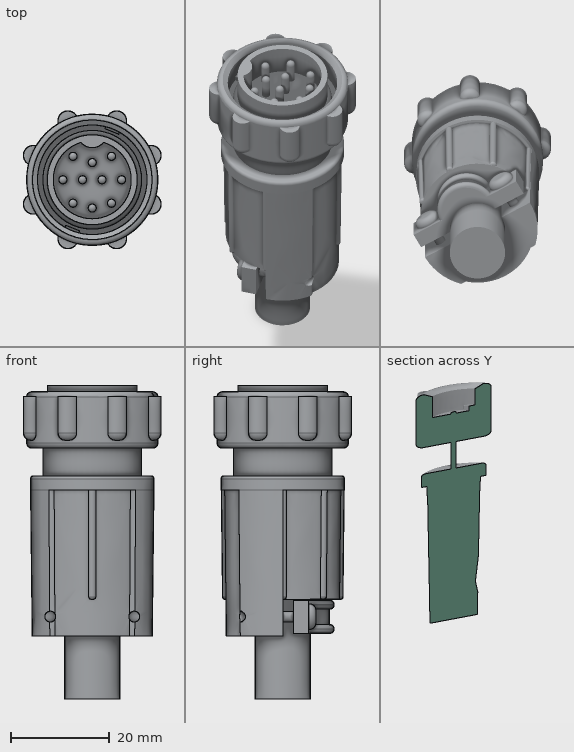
import cadquery as cq
import math

CABLE_BOTTOM_Z = 0.0
BODY_BOTTOM_Z = 12.77
REAR_BOTTOM_Z = 20.2
COLLAR_BOTTOM_Z = 42.3
COLLAR_TOP_Z = 45.2
NUT_BOTTOM_Z = 50.8
NUT_TOP_Z = 62.25
TOTAL_HEIGHT = 63.5

CABLE_RADIUS = 5.6
NECK_RADIUS = 10.0
NECK_TOP_FILLET = 0.8
NECK_TOP_Z = 58.0
COLLAR_RADIUS = 12.5
COLLAR_FILLET = 0.6

TAPER_SLOPE = 0.0115
GRIP_RADIUS = 12.5
BODY_RADIUS = 11.78
WING_EDGE_TOP_Y = -8.9
WING_EDGE_BOTTOM_Y = -8.6
RIB_RADIUS = 0.72
RIB_CREST_RADIUS = 12.45
RIB_END_FILLET = 0.5
REAR_RIB_ANGLES = (0, 45, 90, 135, 180)
FRONT_RIB_ANGLE = 270
REACH = 2 * GRIP_RADIUS

SCREW_X = 8.5
SCREW_Z = 16.7
SCREW_HOLE_RADIUS = 1.1
SCREW_HOLE_FLOOR_Y = -7.0
SHANK_RADIUS = 1.05
HEAD_RADIUS = 2.6
HEAD_HEIGHT = 1.5
HEAD_FILLET = 1.3

CLAMP_BOTTOM_Z = 13.3
CLAMP_TOP_Z = 20.0
CLAMP_HALF_LENGTH = 11.9
CLAMP_FRONT_Y = 2.15
CLAMP_BACK_Y = 5.2
SADDLE_RADIUS = 5.9
SADDLE_CENTRE_Y = 4.5
SADDLE_RIM_HEIGHT = 1.8
SADDLE_WEB_DEPTH = 0.95
SADDLE_RIM_FILLET = 0.88

NUT_RADIUS = 13.3
NUT_FILLET = 1.1
NUT_MOUTH_RADIUS = 12.1
NUT_BORE_RADIUS = 11.1
NUT_LEAD_IN_DEPTH = 0.8
NUT_FLOOR_Z = 57.0
LOBE_COUNT = 8
LOBE_RADIUS = 2.03
LOBE_REACH = 27.91 / 2
LOBE_BOTTOM_Z = 52.4
LOBE_TOP_Z = 61.3
LOBE_END_FILLET = 1.5
LUG_ANGLES = (68, 248)
LUG_INNER_RADIUS = 10.55
LUG_WIDTH = 3.0
LUG_HEIGHT = 1.0

TUBE_OUTER_RADIUS = 9.1
TUBE_INNER_RADIUS = 7.9
INSERT_FLOOR_Z = 57.3
KEY_RADIUS = 3.0
KEY_CENTRE_Y = 9.5
PIN_RADIUS = 0.82
PIN_TOP_Z = 62.1
PIN_POINTS = (
    (-5.95, 0), (-1.98, 0), (1.98, 0), (5.95, 0),
    (-3.9, 4.75), (3.9, 4.75), (-3.9, -4.75), (3.9, -4.75),
    (0, 3.48), (0, -5.73),
)


def cylinder(radius, bottom, top, x=0.0, y=0.0):
    return cq.Workplane("XY", origin=(x, y, bottom)).circle(radius).extrude(top - bottom)


def block(x_range, y_range, z_range):
    size = [high - low for low, high in (x_range, y_range, z_range)]
    corner = (x_range[0], y_range[0], z_range[0])
    return cq.Workplane("XY").box(*size, centered=False).translate(corner)


def tapered_wall(top_radius, bottom):
    """Solid cone frustum hanging from the collar."""
    drop = COLLAR_BOTTOM_Z - bottom
    bottom_radius = top_radius - TAPER_SLOPE * drop
    profile = [(0, bottom), (bottom_radius, bottom), (top_radius, COLLAR_BOTTOM_Z), (0, COLLAR_BOTTOM_Z)]
    return cq.Workplane("XZ").polyline(profile).close().revolve(360, (0, 0, 0), (0, 1, 0))


def make_rib(angle):
    """Round rib leaning with the body taper and ending at the rear half's lower edge."""
    length = COLLAR_BOTTOM_Z - REAR_BOTTOM_Z
    plane = cq.Plane(
        origin=(RIB_CREST_RADIUS - RIB_RADIUS, 0, COLLAR_BOTTOM_Z),
        xDir=(0, 1, 0),
        normal=(-TAPER_SLOPE, 0, -1),
    )
    rib = cq.Workplane(plane).circle(RIB_RADIUS).extrude(length)
    rib = rib.faces("<Z").edges().fillet(RIB_END_FILLET)
    return rib.rotate((0, 0, 0), (0, 0, 1), angle)


def make_rear_half():
    """Short ribbed half of the grip on the +Y side."""
    shell = tapered_wall(BODY_RADIUS, REAR_BOTTOM_Z)
    for angle in REAR_RIB_ANGLES:
        shell = shell.union(make_rib(angle))
    return shell.intersect(block((-REACH, REACH), (0, REACH), (0, TOTAL_HEIGHT)))


def make_front_half():
    """Long half of the grip on the -Y side, with a thicker wing at each end."""
    front_space = block((-REACH, REACH), (-REACH, 0), (0, TOTAL_HEIGHT))
    wing_outline = [
        (0, BODY_BOTTOM_Z),
        (WING_EDGE_BOTTOM_Y, BODY_BOTTOM_Z),
        (WING_EDGE_TOP_Y, COLLAR_BOTTOM_Z),
        (0, COLLAR_BOTTOM_Z),
    ]
    wing_space = cq.Workplane("YZ").polyline(wing_outline).close().extrude(REACH, both=True)
    shell = tapered_wall(BODY_RADIUS, BODY_BOTTOM_Z).intersect(front_space)
    shell = shell.union(tapered_wall(GRIP_RADIUS, BODY_BOTTOM_Z).intersect(wing_space))
    shell = shell.union(make_rib(FRONT_RIB_ANGLE))
    for x in (-SCREW_X, SCREW_X):
        hole = cq.Workplane("XZ", origin=(x, SCREW_HOLE_FLOOR_Y, SCREW_Z))
        shell = shell.cut(hole.circle(SCREW_HOLE_RADIUS).extrude(REACH))
    return shell


def make_collar():
    collar = cylinder(COLLAR_RADIUS, COLLAR_BOTTOM_Z, COLLAR_TOP_Z)
    return collar.faces(">Z").edges().fillet(COLLAR_FILLET)


def make_screw(x):
    """Clamp screw along Y: shank from the front body half, head behind the clamp bar."""
    shank = cq.Workplane("XZ", origin=(x, 0, SCREW_Z)).circle(SHANK_RADIUS).extrude(-CLAMP_BACK_Y)
    head = cq.Workplane("XZ", origin=(x, CLAMP_BACK_Y, SCREW_Z)).circle(HEAD_RADIUS).extrude(-HEAD_HEIGHT)
    return shank.union(head.faces(">Y").edges().fillet(HEAD_FILLET))


def make_clamp():
    """Bar across the cable with a spool-shaped saddle on its back."""
    clamp = block(
        (-CLAMP_HALF_LENGTH, CLAMP_HALF_LENGTH),
        (CLAMP_FRONT_Y, CLAMP_BACK_Y),
        (CLAMP_BOTTOM_Z, CLAMP_TOP_Z),
    )
    saddle = cylinder(SADDLE_RADIUS - SADDLE_WEB_DEPTH, CLAMP_BOTTOM_Z, CLAMP_TOP_Z, y=SADDLE_CENTRE_Y)
    for bottom in (CLAMP_BOTTOM_Z, CLAMP_TOP_Z - SADDLE_RIM_HEIGHT):
        rim = cylinder(SADDLE_RADIUS, bottom, bottom + SADDLE_RIM_HEIGHT, y=SADDLE_CENTRE_Y)
        saddle = saddle.union(rim.edges().fillet(SADDLE_RIM_FILLET))
    behind_bar = block(
        (-CLAMP_HALF_LENGTH, CLAMP_HALF_LENGTH),
        (CLAMP_FRONT_Y, SADDLE_CENTRE_Y + SADDLE_RADIUS),
        (CLAMP_BOTTOM_Z, CLAMP_TOP_Z),
    )
    clamp = clamp.union(saddle.intersect(behind_bar))
    for x in (-SCREW_X, SCREW_X):
        clamp = clamp.union(make_screw(x))
    return clamp


def make_nut():
    nut = cylinder(NUT_RADIUS, NUT_BOTTOM_Z, NUT_TOP_Z).edges().fillet(NUT_FILLET)
    half_pitch = math.pi / LOBE_COUNT
    lobe_centre = (LOBE_REACH - LOBE_RADIUS) / math.cos(half_pitch)
    lobe = cylinder(LOBE_RADIUS, LOBE_BOTTOM_Z, LOBE_TOP_Z, x=lobe_centre)
    lobe = lobe.faces("<Z").edges().fillet(LOBE_END_FILLET)
    bore_profile = [
        (0, NUT_FLOOR_Z),
        (NUT_BORE_RADIUS, NUT_FLOOR_Z),
        (NUT_BORE_RADIUS, NUT_TOP_Z - NUT_LEAD_IN_DEPTH),
        (NUT_MOUTH_RADIUS, NUT_TOP_Z),
        (0, NUT_TOP_Z),
    ]
    bore = cq.Workplane("XZ").polyline(bore_profile).close().revolve(360, (0, 0, 0), (0, 1, 0))
    for i in range(LOBE_COUNT):
        angle = (i + 0.5) * 360 / LOBE_COUNT
        nut = nut.union(lobe.rotate((0, 0, 0), (0, 0, 1), angle))
    nut = nut.cut(bore)
    lug = block(
        (LUG_INNER_RADIUS, NUT_MOUTH_RADIUS),
        (-LUG_WIDTH / 2, LUG_WIDTH / 2),
        (NUT_FLOOR_Z, NUT_FLOOR_Z + LUG_HEIGHT),
    )
    for angle in LUG_ANGLES:
        nut = nut.union(lug.rotate((0, 0, 0), (0, 0, 1), angle))
    return nut


def make_pin(x, y):
    """Contact pin with a hemispherical tip."""
    shoulder = PIN_TOP_Z - PIN_RADIUS
    pin = cylinder(PIN_RADIUS, INSERT_FLOOR_Z, shoulder, x, y)
    tip = cq.Workplane("XY", origin=(x, y, shoulder)).sphere(PIN_RADIUS)
    return pin.union(tip)


def make_neck_and_insert():
    neck = cylinder(NECK_RADIUS, COLLAR_TOP_Z, NECK_TOP_Z)
    neck = neck.faces(">Z").edges().fillet(NECK_TOP_FILLET)
    insert = neck.union(cylinder(TUBE_OUTER_RADIUS, COLLAR_TOP_Z, TOTAL_HEIGHT))
    socket = cylinder(TUBE_INNER_RADIUS, INSERT_FLOOR_Z, TOTAL_HEIGHT)
    key = cylinder(KEY_RADIUS, INSERT_FLOOR_Z, TOTAL_HEIGHT, y=KEY_CENTRE_Y)
    return insert.cut(socket.cut(key))


result = cylinder(CABLE_RADIUS, CABLE_BOTTOM_Z, REAR_BOTTOM_Z)
result = result.union(make_rear_half())
result = result.union(make_front_half())
result = result.union(make_collar())
result = result.union(make_clamp())
result = result.union(make_nut())
result = result.union(make_neck_and_insert())
for pin_x, pin_y in PIN_POINTS:
    result = result.union(make_pin(pin_x, pin_y))